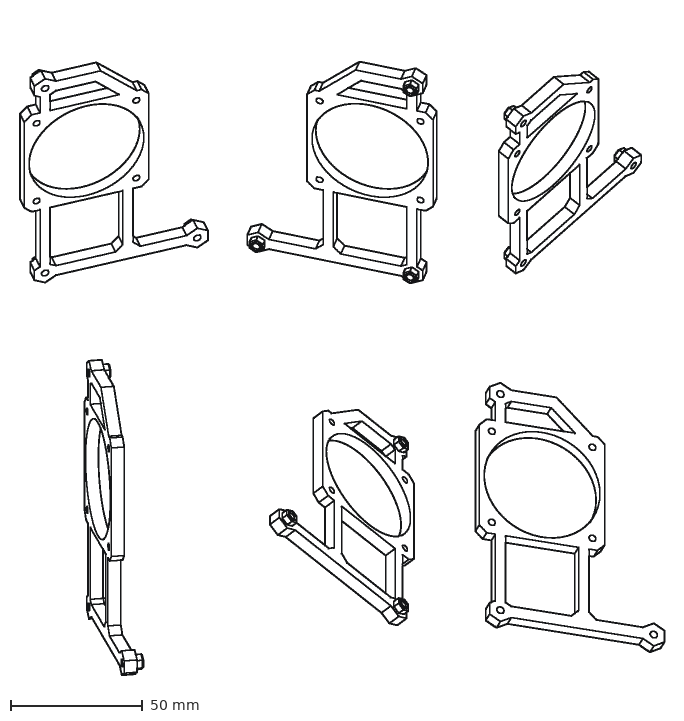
import cadquery as cq
import math


frame_thickness = 5.0
plate_size = 50.0
plate_chamfer = 2.9
fan_opening_diameter = 46.0
fan_screw_spacing = 40.0
fan_screw_diameter = 2.6

pad_corner_diameter = 10.0
stud_corner_diameter = 6.2
stud_height = 2.9
stud_chamfer = 0.5
pilot_diameter = 2.8
mount_spacing_y = 61.0
mount_spacing_z = 95.0

wide_bar = pad_corner_diameter / 2
narrow_bar = 4.1
post_offset = 16.6
gusset_leg = 2.9

near_y = -post_offset
far_y = near_y + mount_spacing_y
upper_z = 37.0
lower_z = upper_z - mount_spacing_z
mounts = [(near_y, upper_z), (near_y, lower_z), (far_y, lower_z)]

strut_top_y = 5.7
arm_top_z = upper_z + wide_bar / 2
arm_bottom_z = upper_z - wide_bar / 2
strut_run = wide_bar * math.sqrt(2)
strut_foot_z = plate_size / 2 - plate_chamfer / 2


def bar(y_start, y_end, z_start, z_end):
    """Rectangular frame member between two opposite corners."""
    return (
        cq.Workplane("YZ")
        .center((y_start + y_end) / 2, (z_start + z_end) / 2)
        .rect(abs(y_end - y_start), abs(z_end - z_start))
        .extrude(frame_thickness)
    )


def outline(points):
    """Frame member with a straight-sided outline."""
    return cq.Workplane("YZ").polyline(points).close().extrude(frame_thickness)


def hexagon(workplane, corner_diameter):
    """Hexagons at all mounts, with corners pointing up and down."""
    sketch = cq.Sketch().regularPolygon(corner_diameter / 2, 6)
    return workplane.pushPoints(mounts).placeSketch(sketch)


def fan_plate():
    """Square plate with clipped corners."""
    half = plate_size / 2
    return bar(-half, half, -half, half).edges("|X").chamfer(plate_chamfer)


def upper_arm():
    """Strut from the plate and level bar to the upper mount."""
    outer_foot_y = strut_top_y + arm_top_z - strut_foot_z
    inner_foot_y = outer_foot_y - strut_run
    inner_top_y = inner_foot_y - (arm_bottom_z - strut_foot_z)
    return outline([
        (near_y, arm_top_z),
        (strut_top_y, arm_top_z),
        (outer_foot_y, strut_foot_z),
        (inner_foot_y, strut_foot_z),
        (inner_top_y, arm_bottom_z),
        (near_y, arm_bottom_z),
    ])


def post(y, z_start, z_end):
    """Narrow upright centred on y."""
    return bar(y - narrow_bar / 2, y + narrow_bar / 2, z_start, z_end)


def gusset():
    """Flared foot where the middle post meets the lower bar."""
    base_z = lower_z + wide_bar / 2
    half_top = narrow_bar / 2
    half_base = half_top + gusset_leg
    return outline([
        (post_offset - half_base, base_z),
        (post_offset + half_base, base_z),
        (post_offset + half_top, base_z + gusset_leg),
        (post_offset - half_top, base_z + gusset_leg),
    ])


def studs():
    """Hexagonal studs with a bevelled free end."""
    blanks = hexagon(cq.Workplane("YZ"), stud_corner_diameter).extrude(-stud_height)
    return blanks.faces("<X").chamfer(stud_chamfer)


def through_holes(points, diameter):
    """Cutters along X that run the full depth of studs and frame."""
    return (
        cq.Workplane("YZ", origin=(-stud_height, 0, 0))
        .pushPoints(points)
        .circle(diameter / 2)
        .extrude(stud_height + frame_thickness)
    )


screw_reach = fan_screw_spacing / 2
fan_screws = [(y, z) for y in (-screw_reach, screw_reach) for z in (-screw_reach, screw_reach)]

frame = (
    fan_plate()
    .union(upper_arm())
    .union(post(near_y, lower_z, -plate_size / 2))
    .union(post(near_y, plate_size / 2, upper_z))
    .union(post(post_offset, lower_z, -plate_size / 2))
    .union(bar(near_y, far_y, lower_z - wide_bar / 2, lower_z + wide_bar / 2))
    .union(gusset())
    .union(hexagon(cq.Workplane("YZ"), pad_corner_diameter).extrude(frame_thickness))
    .union(studs())
)

result = (
    frame
    .cut(through_holes([(0, 0)], fan_opening_diameter))
    .cut(through_holes(fan_screws, fan_screw_diameter))
    .cut(through_holes(mounts, pilot_diameter))
    .faces("<X").edges("%CIRCLE").chamfer(stud_chamfer)
)